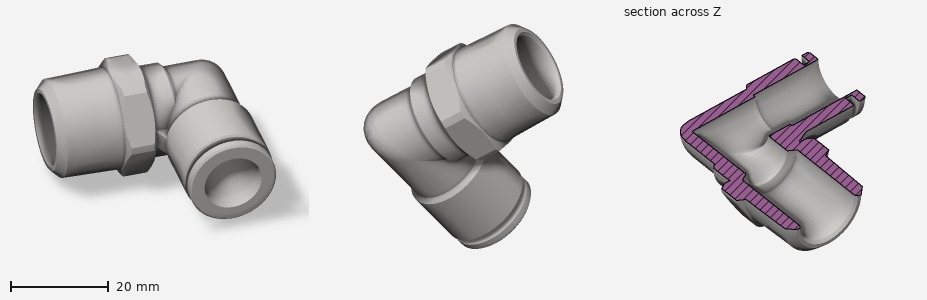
import cadquery as cq
import math


pipe_radius = 8.53
corner_setback = 3.95
flow_radius = 11.0 / 2

collar_radius = 19.0 / 2
collar_chamfer = collar_radius - pipe_radius
edge_chamfer = 0.25
socket_end_chamfer = 0.35

port_collar_start = 5.0
hex_start = 11.0
hex_end = 17.6
overall_length = 41
thread_end = overall_length - collar_radius
thread_base_radius = 10.6
thread_tip_radius = 10.3
thread_chamfer = 1.72
mouth_radius = 7.7
counterbore_radius = 14.5 / 2
counterbore_depth = 18.85
mouth_chamfer_depth = 0.65
drill_point_angle = 118
counterbore_cone = (counterbore_radius - flow_radius) / math.tan(math.radians(drill_point_angle / 2))

hex_across_flats = 22.0
hex_corner_radius = 12.25
hex_face_radius = 10.8
hex_chamfer_angle = 30
hex_chamfer_depth = (hex_corner_radius - hex_face_radius) * math.tan(math.radians(hex_chamfer_angle))

socket_start = 11.25
socket_end = 25.1
flange_start = 26.6
flange_end = 28.5
neck_radius = 13.5 / 2
flange_radius = 18.5 / 2
flange_chamfer = 0.4
tube_radius = 12.2 / 2
tube_stop = socket_start

web_thickness = 3.85
web_tip_x = 12.6
web_tip_y = -9.35


def turned_along_port(profile):
    """Revolve (radius, distance) points about the threaded port axis."""
    points = [(radius, -distance) for radius, distance in profile]
    return cq.Workplane("XY").polyline(points).close().revolve(360, (0, 0), (0, 1))


def turned_along_tube(profile):
    """Revolve (radius, distance) points about the tube port axis."""
    points = [(distance, radius) for radius, distance in profile]
    return cq.Workplane("XY").polyline(points).close().revolve(360, (0, 0), (1, 0))


def plate(points, thickness):
    """Prism of an XY outline, centred on Z = 0."""
    return cq.Workplane("XY").polyline(points).close().extrude(thickness / 2, both=True)


def mitred_elbow(radius, setback):
    """Two mitred pipes whose outer corner is an ellipsoid tangent to both of them."""
    reach = 2 * radius
    flare = reach * setback / radius
    inner_corner = (socket_start, -socket_start)
    port_zone = plate([(0, 0), (-reach, flare), (-reach, -socket_start), inner_corner], 2 * reach)
    tube_zone = plate([(0, 0), inner_corner, (socket_start, reach), (-flare, reach)], 2 * reach)

    port_pipe = cq.Workplane("XZ").workplane(offset=-reach).circle(radius).extrude(reach + hex_start)
    tube_pipe = cq.Workplane("YZ").workplane(offset=-reach).circle(radius).extrude(reach + socket_start)

    skew = setback / radius
    along = math.sqrt(1 + skew)
    across = math.sqrt(1 - skew)
    half_angle = math.degrees(math.atan(across / along))
    half_disc = cq.Workplane("XZ").moveTo(0, -radius).threePointArc((radius, 0), (0, radius)).close()
    wedge = half_disc.revolve(2 * half_angle, (0, 0), (0, -1)).val()
    wedge = wedge.rotate(cq.Vector(), cq.Vector(0, 0, 1), half_angle)
    stretch = cq.Matrix([[along, 0, 0, 0], [0, across, 0, 0], [0, 0, 1, 0]])
    corner = wedge.transformGeometry(stretch).rotate(cq.Vector(), cq.Vector(0, 0, 1), 135)

    arms = port_pipe.intersect(port_zone).union(tube_pipe.intersect(tube_zone))
    return arms.union(cq.Workplane("XY").add(corner))


def port_body():
    """Collar below the elbow, followed by the tapered thread body."""
    return turned_along_port([
        (0, port_collar_start),
        (pipe_radius, port_collar_start),
        (collar_radius, port_collar_start + collar_chamfer),
        (collar_radius, hex_start - edge_chamfer),
        (collar_radius - edge_chamfer, hex_start),
        (collar_radius - edge_chamfer, hex_end),
        (thread_base_radius, hex_end),
        (thread_tip_radius, thread_end - thread_chamfer),
        (thread_tip_radius - thread_chamfer, thread_end),
        (0, thread_end),
    ])


def hexagon():
    """Hexagon with two flats square to Z, its corners turned down and chamfered."""
    corner_diameter = hex_across_flats / math.cos(math.pi / 6)
    prism = cq.Workplane("XZ").workplane(offset=hex_start).polygon(6, corner_diameter)
    blank = turned_along_port([
        (0, hex_start),
        (hex_face_radius, hex_start),
        (hex_corner_radius, hex_start + hex_chamfer_depth),
        (hex_corner_radius, hex_end - hex_chamfer_depth),
        (hex_face_radius, hex_end),
        (0, hex_end),
    ])
    return prism.extrude(hex_end - hex_start).intersect(blank)


def tube_body():
    """Socket collar, release sleeve neck and end flange."""
    return turned_along_tube([
        (0, socket_start),
        (pipe_radius, socket_start),
        (collar_radius, socket_start + collar_chamfer),
        (collar_radius, socket_end - socket_end_chamfer),
        (collar_radius - socket_end_chamfer, socket_end),
        (neck_radius, socket_end),
        (neck_radius, flange_start),
        (flange_radius, flange_start),
        (flange_radius, flange_end - flange_chamfer),
        (flange_radius - flange_chamfer, flange_end),
        (0, flange_end),
    ])


def web():
    """Small web with a sloping underside, rooted inside both collars."""
    root_x = pipe_radius
    top_y = collar_chamfer - pipe_radius
    bottom_y = edge_chamfer - hex_start
    points = [
        (root_x, top_y),
        (web_tip_x, top_y),
        (web_tip_x, web_tip_y),
        (collar_radius, bottom_y),
        (root_x, bottom_y),
    ]
    return plate(points, web_thickness)


def port_bore():
    """Flow bore with a countersunk counterbore at the thread mouth."""
    return turned_along_port([
        (0, 0),
        (flow_radius, 0),
        (flow_radius, thread_end - counterbore_depth - counterbore_cone),
        (counterbore_radius, thread_end - counterbore_depth),
        (counterbore_radius, thread_end - mouth_chamfer_depth),
        (mouth_radius, thread_end),
        (0, thread_end),
    ])


def tube_bore():
    """Flow bore, run across the whole port bore, that widens to take the tube."""
    return turned_along_tube([
        (0, -flow_radius),
        (flow_radius, -flow_radius),
        (flow_radius, tube_stop),
        (tube_radius, tube_stop),
        (tube_radius, flange_end),
        (0, flange_end),
    ])


elbow = mitred_elbow(pipe_radius, corner_setback)
outside = elbow.union(port_body()).union(hexagon()).union(tube_body()).union(web())
result = outside.cut(port_bore()).cut(tube_bore())